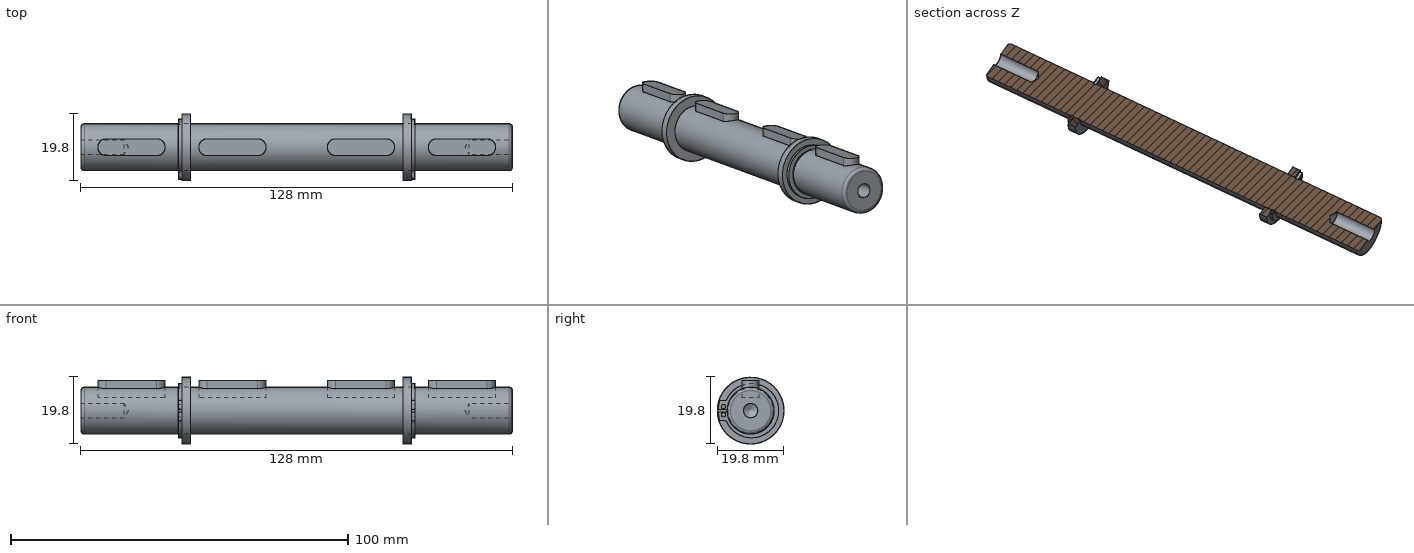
import cadquery as cq
import math

SHAFT_LENGTH = 128.0
SHAFT_DIAMETER = 14.0
END_FILLET = 1.0
CENTRE_HOLE_DIAMETER = 4.2
CENTRE_HOLE_DEPTH = 12.8
DRILL_POINT_ANGLE = 118.0

KEY_LENGTH = 20.0
KEY_WIDTH = 5.0
KEY_HEIGHT = 5.0
KEY_TOP = 9.0
OUTER_KEY_INSET = 5.0
INNER_KEY_INSET = 35.0

WASHER_DIAMETER = 19.8
WASHER_THICKNESS = 2.5
WASHER_INSET = 30.0

RING_THICKNESS = 1.0
RING_BORE = 13.5
RING_RIM_DIAMETER = 16.1
RING_RIM_OFFSET = 0.3
LUG_WIDTH = 5.9
LUG_TIP_RADIUS = 9.6
LUG_ROOT_FILLET = 1.0
LUG_HOLE_DIAMETER = 1.3
LUG_HOLE_RADIUS = 8.0
LUG_HOLE_SPACING = 2.4
RING_GAP = 0.8
GROOVE_CLEARANCE = 0.1

HALF_LENGTH = SHAFT_LENGTH / 2
WASHER_OUTER_FACE = HALF_LENGTH - WASHER_INSET
WASHER_INNER_FACE = WASHER_OUTER_FACE - WASHER_THICKNESS
OUTER_KEY_CENTRE = HALF_LENGTH - OUTER_KEY_INSET - KEY_LENGTH / 2
INNER_KEY_CENTRE = HALF_LENGTH - INNER_KEY_INSET - KEY_LENGTH / 2
KEY_CENTRES = [-OUTER_KEY_CENTRE, -INNER_KEY_CENTRE, INNER_KEY_CENTRE, OUTER_KEY_CENTRE]


def disc(x_start, diameter, length, y=0.0):
    """Cylinder along +X, starting at x_start, with its axis at the given y."""
    return cq.Workplane("YZ", origin=(x_start, y, 0)).circle(diameter / 2).extrude(length)


def mirrored_pair(body):
    """The body at the +X end and its mirror image at the -X end."""
    return [body, body.mirror("YZ")]


def make_key(x_centre):
    return (
        cq.Workplane("XY", origin=(x_centre, 0, KEY_TOP - KEY_HEIGHT))
        .slot2D(KEY_LENGTH, KEY_WIDTH)
        .extrude(KEY_HEIGHT)
    )


def make_centre_hole():
    """Blind drilled hole at the +X end, with a conical bottom."""
    radius = CENTRE_HOLE_DIAMETER / 2
    hole_bottom = HALF_LENGTH - CENTRE_HOLE_DEPTH
    point_depth = radius / math.tan(math.radians(DRILL_POINT_ANGLE / 2))
    return (
        cq.Workplane("XY")
        .moveTo(HALF_LENGTH, 0)
        .lineTo(HALF_LENGTH, radius)
        .lineTo(hole_bottom, radius)
        .lineTo(hole_bottom - point_depth, 0)
        .close()
        .revolve(360, (0, 0, 0), (1, 0, 0))
    )


def make_groove():
    """Ring-shaped cut for the retaining ring at the +X end."""
    width = RING_THICKNESS + GROOVE_CLEARANCE
    stock = disc(WASHER_OUTER_FACE, SHAFT_DIAMETER, width)
    return stock.cut(disc(WASHER_OUTER_FACE, RING_BORE, width))


def make_shaft():
    shaft = disc(-HALF_LENGTH, SHAFT_DIAMETER, SHAFT_LENGTH).edges("%CIRCLE").fillet(END_FILLET)
    for cutter in mirrored_pair(make_centre_hole()) + mirrored_pair(make_groove()):
        shaft = shaft.cut(cutter)
    for x_centre in KEY_CENTRES:
        shaft = shaft.cut(make_key(x_centre))
    return shaft


def make_washer():
    """Washer at the +X end."""
    blank = disc(WASHER_INNER_FACE, WASHER_DIAMETER, WASHER_THICKNESS)
    return blank.cut(disc(WASHER_INNER_FACE, SHAFT_DIAMETER, WASHER_THICKNESS))


def lug_root_selector():
    """Selects the two edges along X where the sides of the lugs meet the rim."""
    half_width = LUG_WIDTH / 2
    root_y = RING_RIM_OFFSET - math.sqrt((RING_RIM_DIAMETER / 2) ** 2 - half_width**2)
    x_middle = WASHER_OUTER_FACE + RING_THICKNESS / 2
    margin = RING_THICKNESS / 4
    lower_corner = (x_middle - margin, root_y - margin, -half_width - margin)
    upper_corner = (x_middle + margin, root_y + margin, half_width + margin)
    return cq.selectors.BoxSelector(lower_corner, upper_corner)


def make_retaining_ring():
    """Open ring at the +X end, thickest at +Y, with two drilled lugs at -Y."""
    ring = disc(WASHER_OUTER_FACE, RING_RIM_DIAMETER, RING_THICKNESS, RING_RIM_OFFSET)
    face = cq.Workplane("YZ", origin=(WASHER_OUTER_FACE, 0, 0))
    lug_centre = face.center(-LUG_TIP_RADIUS / 2, 0)
    lugs = lug_centre.rect(LUG_TIP_RADIUS, LUG_WIDTH).extrude(RING_THICKNESS)
    lugs = lugs.intersect(disc(WASHER_OUTER_FACE, 2 * LUG_TIP_RADIUS, RING_THICKNESS))
    gap = lug_centre.rect(LUG_TIP_RADIUS, RING_GAP).extrude(RING_THICKNESS)
    holes = (
        face.pushPoints([(-LUG_HOLE_RADIUS, side * LUG_HOLE_SPACING / 2) for side in (-1, 1)])
        .circle(LUG_HOLE_DIAMETER / 2)
        .extrude(RING_THICKNESS)
    )
    bore = disc(WASHER_OUTER_FACE, RING_BORE, RING_THICKNESS)
    blank = ring.union(lugs).edges(lug_root_selector()).fillet(LUG_ROOT_FILLET)
    return blank.cut(bore).cut(gap).cut(holes)


shaft = make_shaft()
keys = [make_key(x_centre) for x_centre in KEY_CENTRES]
washers = mirrored_pair(make_washer())
retaining_rings = mirrored_pair(make_retaining_ring())

result = cq.Compound.makeCompound(
    [body.val() for body in [shaft, *keys, *washers, *retaining_rings]]
)